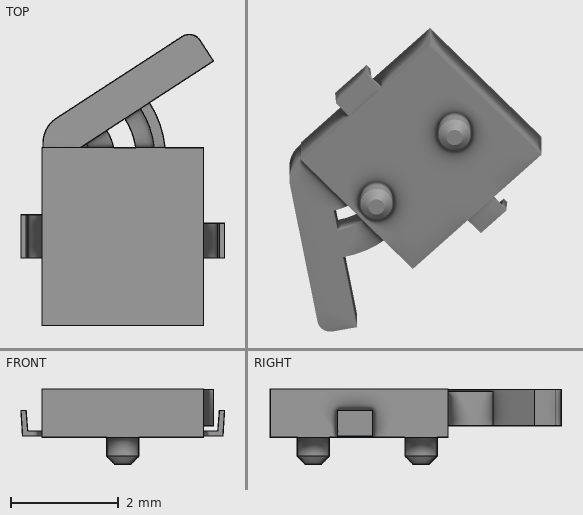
import cadquery as cq
import math

body_width = 3.0
body_depth = 3.3
body_height = 0.9
body_back = body_depth / 2

peg_radius = 0.3
peg_length = 0.5
peg_chamfer = 0.15
peg_count = 2
peg_pitch = 2.0
peg_back_inset = 0.5

terminal_span = 3.78
terminal_thickness = 0.1
terminal_bottom = 0.02
terminal_top = 0.5
terminal_lean = 0.03
terminal_front = -0.4
left_terminal_length = 0.81
right_terminal_length = 0.65

lever_bottom = 0.21
lever_top = 0.89
lever_height = lever_top - lever_bottom
lever_angle = math.radians(33)
lever_thickness = 0.7
lever_left = -1.48
lever_tip = (1.684, 3.255)
lever_tip_fillet = 0.24
lever_heel_fillet = 0.55

pivot = (-1.07, 1.47)
hub_radius = 0.47
disc_radius = 0.92
ring_inner_radius = 1.32
rim_inner_radius = 1.665
rim_outer_radius = 1.865
sector_floor = 0.74
hub_top = 0.76
rim_top = 0.85


def lever_underside_x(y):
    """X of the straight underside of the lever at a given Y."""
    return lever_tip[0] - (lever_tip[1] - y) / math.tan(lever_angle)


def make_body():
    return cq.Workplane("XY").box(body_width, body_depth, body_height, centered=(True, True, False))


def make_peg(y):
    peg = cq.Workplane("XY").center(0, y).circle(peg_radius).extrude(-peg_length)
    return peg.faces("<Z").chamfer(peg_chamfer)


def make_terminal(side, length):
    """L-shaped terminal; side is +1 for +X and -1 for -X."""
    wall = side * body_width / 2
    tip_outer = side * terminal_span / 2
    foot_outer = tip_outer - side * terminal_lean
    foot_top = terminal_bottom + terminal_thickness
    profile = [
        (wall, terminal_bottom),
        (foot_outer, terminal_bottom),
        (tip_outer, terminal_top),
        (tip_outer - side * terminal_thickness, terminal_top),
        (foot_outer - side * terminal_thickness, foot_top),
        (wall, foot_top),
    ]
    section = cq.Workplane("XZ", origin=(0, terminal_front, 0)).polyline(profile).close()
    return section.extrude(-length)


def make_lever():
    tip_corner = (
        lever_tip[0] - lever_thickness * math.sin(lever_angle),
        lever_tip[1] + lever_thickness * math.cos(lever_angle),
    )
    heel_y = tip_corner[1] - (tip_corner[0] - lever_left) * math.tan(lever_angle)
    outline = [
        (lever_left, body_back),
        (lever_underside_x(body_back), body_back),
        lever_tip,
        tip_corner,
        (lever_left, heel_y),
    ]
    lever = cq.Workplane("XY", origin=(0, 0, lever_bottom)).polyline(outline).close().extrude(lever_height)
    lever = lever.edges("|Z").edges(">Y").fillet(lever_tip_fillet)
    heel_edge = cq.selectors.NearestToPointSelector((lever_left, heel_y, lever_bottom + lever_height / 2))
    return lever.edges("|Z").edges(heel_edge).fillet(lever_heel_fillet)


def make_pivot_disc(outer_radius, top):
    base = cq.Workplane("XY", origin=(pivot[0], pivot[1], lever_bottom))
    return base.circle(outer_radius).extrude(top - lever_bottom)


def make_pivot_ring(outer_radius, inner_radius, top):
    return make_pivot_disc(outer_radius, top).cut(make_pivot_disc(inner_radius, top))


def make_guide_sector():
    """Stepped discs and rings, kept only between the housing and the lever."""
    sector = make_pivot_disc(disc_radius, sector_floor)
    sector = sector.union(make_pivot_disc(hub_radius, hub_top))
    sector = sector.union(make_pivot_ring(rim_inner_radius, ring_inner_radius, sector_floor))
    sector = sector.union(make_pivot_ring(rim_outer_radius, rim_inner_radius, rim_top))
    wedge = [
        (lever_underside_x(body_back), body_back),
        (lever_tip[0], body_back),
        lever_tip,
    ]
    window = cq.Workplane("XY").polyline(wedge).close().extrude(body_height)
    return sector.intersect(window)


result = make_body()
for peg_index in range(peg_count):
    result = result.union(make_peg(body_back - peg_back_inset - peg_index * peg_pitch))
result = result.union(make_terminal(-1, left_terminal_length))
result = result.union(make_terminal(1, right_terminal_length))
result = result.union(make_lever())
result = result.union(make_guide_sector())